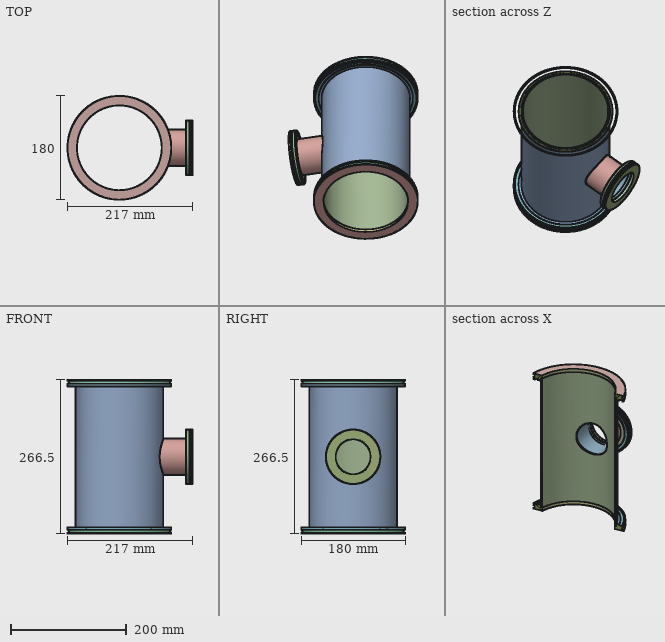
import cadquery as cq

TOTAL_HEIGHT = 266.5
MAIN_OUTER_D = 152.5
MAIN_BORE_D = 146.5

MAIN_FLANGE_D = 180.0
MAIN_FLANGE_BORE_D = 146.0
MAIN_SOCKET_D = 153.0
MAIN_RELIEF_INNER_D = 163.0
MAIN_RELIEF_OUTER_D = 175.0
MAIN_GROOVE_ROOT_D = 175.0
MAIN_LIP = 2.0

BRANCH_OUTER_D = 63.5
BRANCH_BORE_D = 60.3
BRANCH_FACE_X = 217.0 - MAIN_FLANGE_D / 2

BRANCH_FLANGE_D = 95.0
BRANCH_SOCKET_D = 63.7
BRANCH_RELIEF_INNER_D = 78.0
BRANCH_RELIEF_OUTER_D = 90.0
BRANCH_GROOVE_ROOT_D = 90.0
BRANCH_LIP = 3.7
BRANCH_GROOVE_WIDTH = 2.7

FLANGE_THICKNESS = 12.0
SOCKET_FLOOR = 6.5
RELIEF_DEPTH = 1.5
EDGE_CHAMFER = 0.8


def ring(outer_d, inner_d, start, end):
    """Ring around Z between two heights."""
    return (
        cq.Workplane("XY", origin=(0, 0, start))
        .circle(outer_d / 2)
        .circle(inner_d / 2)
        .extrude(end - start)
    )


def clamp_groove(flange_d, root_d, width, start):
    """Cutter for a groove in the rim, with straight walls and a half-round root."""
    root_r = root_d / 2
    arc_end_r = root_r + width / 2
    outer_r = max(flange_d / 2, arc_end_r)
    profile = cq.Workplane("XZ").moveTo(outer_r + 2.7, start).lineTo(arc_end_r, start)
    profile = profile.threePointArc((root_r, start + width / 2), (arc_end_r, start + width))
    return profile.lineTo(outer_r + 2.7, start + width).close().revolve(360, (0, 0, 0), (0, 1, 0))


def make_main_flange():
    """Main flange with its sealing face on Z = 0 and its tube side toward +Z."""
    groove_width = MAIN_FLANGE_D - MAIN_GROOVE_ROOT_D
    flange = ring(MAIN_FLANGE_D, MAIN_FLANGE_BORE_D, 0, FLANGE_THICKNESS)
    flange = flange.faces(">Z").edges(cq.selectors.RadiusNthSelector(-1)).chamfer(EDGE_CHAMFER)
    flange = flange.cut(ring(MAIN_SOCKET_D, MAIN_FLANGE_BORE_D, SOCKET_FLOOR, FLANGE_THICKNESS))
    relief_floor = FLANGE_THICKNESS - RELIEF_DEPTH
    flange = flange.cut(ring(MAIN_RELIEF_OUTER_D, MAIN_RELIEF_INNER_D, relief_floor, FLANGE_THICKNESS))
    return flange.cut(clamp_groove(MAIN_FLANGE_D, MAIN_GROOVE_ROOT_D, groove_width, MAIN_LIP))


def make_branch_flange():
    """Branch flange with its sealing face at the +X end."""
    flange = ring(BRANCH_FLANGE_D, BRANCH_BORE_D, 0, FLANGE_THICKNESS)
    flange = flange.edges(cq.selectors.RadiusNthSelector(-1)).chamfer(EDGE_CHAMFER)
    flange = flange.cut(ring(BRANCH_SOCKET_D, BRANCH_BORE_D, SOCKET_FLOOR, FLANGE_THICKNESS))
    relief_floor = FLANGE_THICKNESS - RELIEF_DEPTH
    flange = flange.cut(ring(BRANCH_RELIEF_OUTER_D, BRANCH_RELIEF_INNER_D, relief_floor, FLANGE_THICKNESS))
    groove = clamp_groove(BRANCH_FLANGE_D, BRANCH_GROOVE_ROOT_D, BRANCH_GROOVE_WIDTH, BRANCH_LIP)
    flange = flange.cut(groove)
    return flange.rotate((0, 0, 0), (0, 1, 0), -90).translate((BRANCH_FACE_X, 0, 0))


def make_main_tube():
    """Main tube with a side port as wide as the branch bore."""
    tube_end = TOTAL_HEIGHT / 2 - SOCKET_FLOOR
    tube = ring(MAIN_OUTER_D, MAIN_BORE_D, -tube_end, tube_end)
    port = cq.Workplane("YZ").circle(BRANCH_BORE_D / 2).extrude(MAIN_OUTER_D)
    return tube.cut(port)


def make_branch_tube():
    """Branch tube, coped to sit on the outside of the main tube."""
    tube = (
        cq.Workplane("YZ")
        .circle(BRANCH_OUTER_D / 2)
        .circle(BRANCH_BORE_D / 2)
        .extrude(BRANCH_FACE_X - SOCKET_FLOOR)
    )
    cope = cq.Workplane("XY").circle(MAIN_OUTER_D / 2).extrude(MAIN_OUTER_D / 2, both=True)
    return tube.cut(cope)


main_tube = make_main_tube()
branch_tube = make_branch_tube()
branch_flange = make_branch_flange()

main_flanges = []
for turn in (0, 180):
    placed = make_main_flange().translate((0, 0, -TOTAL_HEIGHT / 2))
    main_flanges.append(placed.rotate((0, 0, 0), (1, 0, 0), turn))

result = cq.Compound.makeCompound([
    main_tube.val(),
    branch_tube.val(),
    branch_flange.val(),
    *[flange.val() for flange in main_flanges],
])